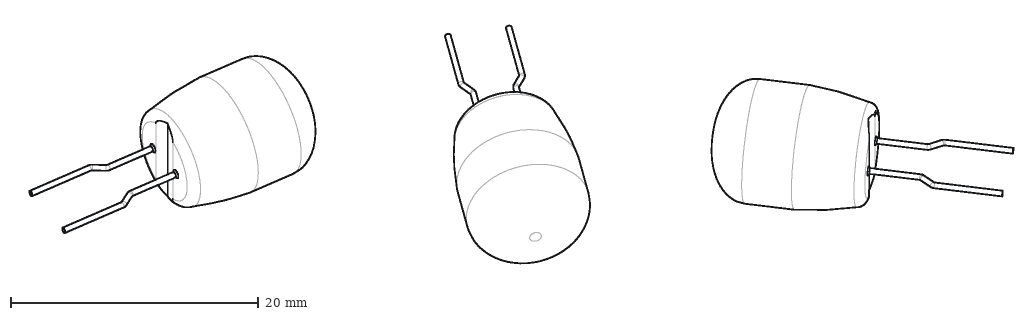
import cadquery as cq
import math

overall_length = 24.15
body_length = 13.0
body_radius = 5.1
dome_height = 3.16
dome_flat_radius = 0.48
band_length = 4.08
base_edge_radius = 4.3
base_edge_height = 0.75
base_face_radius = 3.45
taper_bulge = 0.12
dome_start = body_length - dome_height
taper_start = dome_start - band_length

groove_half_width = 1.3
groove_depth = 0.3

wire_radius = 0.25
bend_radius = 0.36
inner_offset = 1.76
outer_offset = 2.51
inner_bend_y = -4.35
outer_bend_y = -5.45
lead_end_y = body_length - overall_length
lead_root_y = 0.72

collar_radius = 0.39
collar_height = 0.15


def make_body():
    """Revolve the half outline about the Y axis."""
    taper_middle = (
        (body_radius + base_edge_radius) / 2 + taper_bulge,
        (taper_start + base_edge_height) / 2,
    )
    edge_middle = (
        base_face_radius + (base_edge_radius - base_face_radius) * math.sqrt(0.5),
        base_edge_height * (1 - math.sqrt(0.5)),
    )
    outline = (
        cq.Workplane("XY")
        .lineTo(base_face_radius, 0)
        .threePointArc(edge_middle, (base_edge_radius, base_edge_height))
        .threePointArc(taper_middle, (body_radius, taper_start))
        .lineTo(body_radius, dome_start)
        .ellipseArc(body_radius - dome_flat_radius, dome_height, 0, 90, startAtCurrent=True)
        .lineTo(0, body_length)
        .close()
    )
    return outline.revolve(360, (0, 0, 0), (0, 1, 0))


def make_groove():
    """Prism with a V-shaped roof, running past the base on all open sides."""
    return (
        cq.Workplane("XY")
        .moveTo(-groove_half_width, 0)
        .lineTo(0, groove_depth)
        .lineTo(groove_half_width, 0)
        .lineTo(groove_half_width, -groove_depth)
        .lineTo(-groove_half_width, -groove_depth)
        .close()
        .extrude(body_radius, both=True)
    )


def make_lead(side):
    """Bent round wire with its collar; side is +1 or -1 along X."""
    path = (
        cq.Workplane("XY")
        .moveTo(side * inner_offset, lead_root_y)
        .lineTo(side * inner_offset, inner_bend_y)
        .lineTo(side * outer_offset, outer_bend_y)
        .lineTo(side * outer_offset, lead_end_y)
        .wire()
        .val()
    )
    bends = path.Vertices()[1:-1]
    path = path.fillet2D(bend_radius, bends)
    wire = (
        cq.Workplane("XZ", origin=(side * inner_offset, lead_root_y, 0))
        .circle(wire_radius)
        .sweep(path)
    )
    collar = (
        cq.Workplane("XZ", origin=(side * inner_offset, 0, 0))
        .circle(collar_radius)
        .workplane(offset=collar_height)
        .circle(wire_radius)
        .loft()
    )
    return wire.union(collar)


result = make_body().cut(make_groove())
for lead_side in (-1, 1):
    result = result.union(make_lead(lead_side))